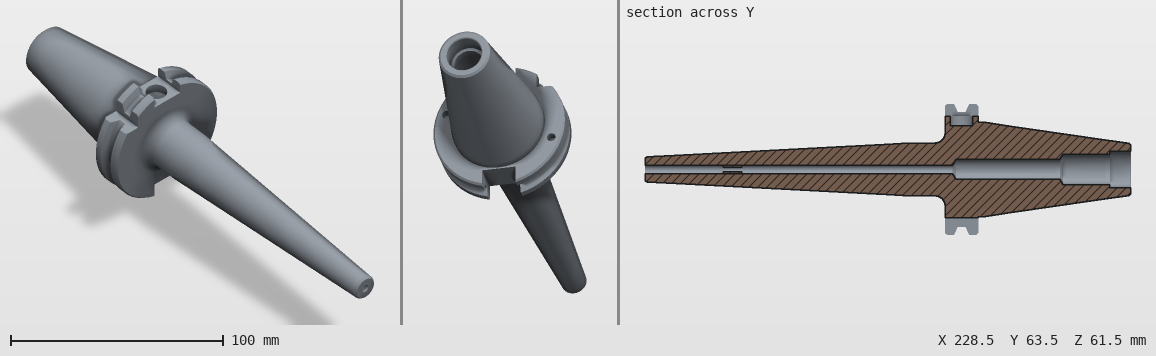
import cadquery as cq
import math

overall_length = 228.5
cone_length = 68.5
collar_length = 3.2
flange_width = 15.8
neck_end = 104.0
flange_rear = cone_length + collar_length
flange_front = flange_rear + flange_width
groove_middle = flange_rear + flange_width / 2

cone_large_radius = 44.5 / 2
cone_taper = 7 / 24
cone_small_radius = cone_large_radius - cone_length * cone_taper / 2
rear_chamfer = 1.0
flange_radius = 63.5 / 2
flange_rear_chamfer = 1.0
flange_front_chamfer_length = 1.1
flange_front_chamfer_drop = 0.7
neck_radius = 25.1 / 2
neck_fillet = 4.5
nose_radius = 12.0 / 2
nose_chamfer_length = 1.1
nose_chamfer_drop = 0.7

groove_mouth_width = 7.0
groove_floor_radius = 56.2 / 2
groove_flank_angle = 26

drill_point_angle = 118
counterbore_radius = 17.0 / 2
counterbore_depth = 9.8
counterbore_chamfer = 0.5
thread_radius = 14.0 / 2
thread_depth = 32.0
middle_bore_radius = 9.1 / 2
middle_bore_depth = 82.2
core_radius = 3.9 / 2

screw_length = 9.1
screw_start = 182.7
screw_hole_radius = 2.0 / 2

slot_width = 16.0
top_slot_floor = 25.1
bottom_slot_floor = 22.8
corner_notch_y = 18.3
corner_notch_z = 18.5
chip_pocket_diameter = 10.3
chip_pocket_depth = 4.5
coolant_angles = (20, 200)
coolant_hole_radius = 4.0 / 2
coolant_circle_radius = 27.0
coolant_hole_depth = 4.5
plug_radius = 3.2 / 2
plug_length = 4.5
plug_setback = 0.2
plug_outer_end = groove_floor_radius - plug_setback
plug_inner_end = plug_outer_end - plug_length
plug_socket_width = 1.8
plug_socket_depth = 1.8


def drill_point_length(radius):
    """Axial length of a drill point across the given change of radius."""
    return radius / math.tan(math.radians(drill_point_angle / 2))


def turned(profile):
    """Revolve a closed (x, radius) profile about the X axis."""
    return profile.close().revolve(360, (0, 0, 0), (1, 0, 0))


def outer_shape():
    """Cone, collar, grooved flange, filleted neck and tapered nose as one turned solid."""
    groove_flank = (flange_radius - groove_floor_radius) * math.tan(math.radians(groove_flank_angle))
    groove_half_mouth = groove_mouth_width / 2
    groove_half_floor = groove_half_mouth - groove_flank
    fillet_middle = neck_fillet * (1 - math.sqrt(0.5))
    profile = (
        cq.Workplane("XY")
        .moveTo(0, 0)
        .lineTo(0, cone_small_radius - rear_chamfer)
        .lineTo(rear_chamfer, cone_small_radius + rear_chamfer * cone_taper / 2)
        .lineTo(cone_length, cone_large_radius)
        .lineTo(flange_rear, cone_large_radius)
        .lineTo(flange_rear, flange_radius - flange_rear_chamfer)
        .lineTo(flange_rear + flange_rear_chamfer, flange_radius)
        .lineTo(groove_middle - groove_half_mouth, flange_radius)
        .lineTo(groove_middle - groove_half_floor, groove_floor_radius)
        .lineTo(groove_middle + groove_half_floor, groove_floor_radius)
        .lineTo(groove_middle + groove_half_mouth, flange_radius)
        .lineTo(flange_front - flange_front_chamfer_length, flange_radius)
        .lineTo(flange_front, flange_radius - flange_front_chamfer_drop)
        .lineTo(flange_front, neck_radius + neck_fillet)
        .threePointArc(
            (flange_front + fillet_middle, neck_radius + fillet_middle),
            (flange_front + neck_fillet, neck_radius),
        )
        .lineTo(neck_end, neck_radius)
        .lineTo(overall_length - nose_chamfer_length, nose_radius)
        .lineTo(overall_length, nose_radius - nose_chamfer_drop)
        .lineTo(overall_length, 0)
    )
    return turned(profile)


def bore():
    """Stepped bore: counterbore, thread bore and middle bore with drill points, then the core bore."""
    thread_tip = drill_point_length(thread_radius - middle_bore_radius)
    middle_tip = drill_point_length(middle_bore_radius - core_radius)
    profile = (
        cq.Workplane("XY")
        .moveTo(0, 0)
        .lineTo(0, counterbore_radius + counterbore_chamfer)
        .lineTo(counterbore_chamfer, counterbore_radius)
        .lineTo(counterbore_depth, counterbore_radius)
        .lineTo(counterbore_depth, thread_radius)
        .lineTo(thread_depth, thread_radius)
        .lineTo(thread_depth + thread_tip, middle_bore_radius)
        .lineTo(middle_bore_depth, middle_bore_radius)
        .lineTo(middle_bore_depth + middle_tip, core_radius)
        .lineTo(overall_length, core_radius)
        .lineTo(overall_length, 0)
    )
    return turned(profile)


def flange_block(y_range, z_range):
    """Box across the full flange width between the given Y and Z limits."""
    width_y = y_range[1] - y_range[0]
    height_z = z_range[1] - z_range[0]
    return (
        cq.Workplane("XY")
        .box(flange_width, width_y, height_z, centered=False)
        .translate((flange_rear, y_range[0], z_range[0]))
    )


def flange_notches():
    """Drive slots at top and bottom, and the square notch in the -Y, +Z corner."""
    half_slot = slot_width / 2
    top_slot = flange_block((-half_slot, half_slot), (top_slot_floor, flange_radius))
    bottom_slot = flange_block((-half_slot, half_slot), (-flange_radius, -bottom_slot_floor))
    corner_notch = flange_block((-flange_radius, -corner_notch_y), (corner_notch_z, flange_radius))
    return [top_slot, bottom_slot, corner_notch]


def chip_pocket():
    """Round pocket sunk into the floor of the top slot."""
    return (
        cq.Workplane("XY", origin=(groove_middle, 0, top_slot_floor - chip_pocket_depth))
        .circle(chip_pocket_diameter / 2)
        .extrude(chip_pocket_depth)
    )


def coolant_hole(angle):
    """Blind drilled hole in the rear face of the flange."""
    tip = drill_point_length(coolant_hole_radius)
    profile = (
        cq.Workplane("XY")
        .moveTo(0, 0)
        .lineTo(0, coolant_hole_radius)
        .lineTo(coolant_hole_depth, coolant_hole_radius)
        .lineTo(coolant_hole_depth + tip, 0)
    )
    hole = turned(profile).translate((flange_rear, coolant_circle_radius, 0))
    return hole.rotate((0, 0, 0), (1, 0, 0), angle)


def radial_cylinder(inner_radius, outer_radius, angle):
    """Plug-sized cylinder that points outward from the middle of the groove."""
    cylinder = (
        cq.Workplane("XZ", origin=(groove_middle, inner_radius, 0))
        .circle(plug_radius)
        .extrude(inner_radius - outer_radius)
    )
    return cylinder.rotate((0, 0, 0), (1, 0, 0), angle)


def make_holder():
    holder = outer_shape().cut(bore()).cut(chip_pocket())
    for notch in flange_notches():
        holder = holder.cut(notch)
    for angle in coolant_angles:
        holder = holder.cut(coolant_hole(angle))
        holder = holder.cut(radial_cylinder(plug_inner_end, flange_radius, angle))
    return holder


def make_plug(angle):
    """Headless plug with a hexagon socket in its outer end."""
    socket = (
        cq.Workplane("XZ", origin=(groove_middle, plug_outer_end, 0))
        .polygon(6, plug_socket_width, circumscribed=True)
        .extrude(plug_socket_depth)
        .rotate((0, 0, 0), (1, 0, 0), angle)
    )
    return radial_cylinder(plug_inner_end, plug_outer_end, angle).cut(socket)


def make_adjusting_screw():
    """Headless screw that fills the core bore and has a hole through it."""
    return (
        cq.Workplane("YZ", origin=(screw_start, 0, 0))
        .circle(core_radius)
        .circle(screw_hole_radius)
        .extrude(screw_length)
    )


holder = make_holder()
plugs = [make_plug(angle) for angle in coolant_angles]
adjusting_screw = make_adjusting_screw()

result = cq.Compound.makeCompound(
    [holder.val(), *[plug.val() for plug in plugs], adjusting_screw.val()]
)